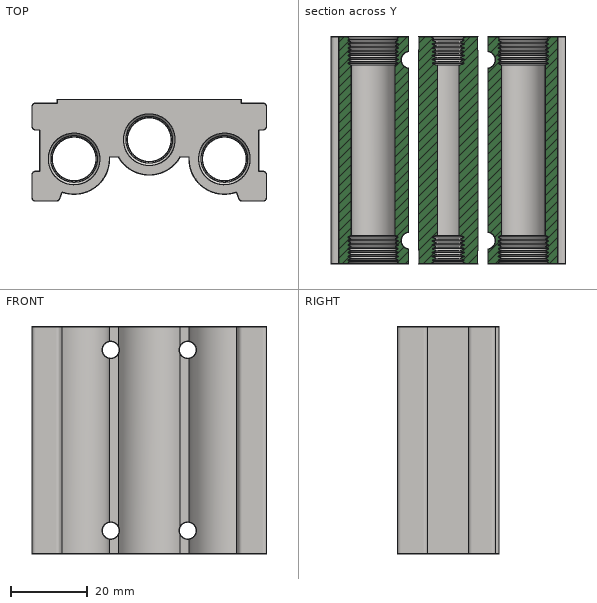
import cadquery as cq
import math

width = 61.0
depth = 26.5
length = 59.0
back = depth / 2
front = -depth / 2
half_width = width / 2

pad_width = 47.8
pad_height = 1.0

groove_depth = 2.0
groove_back = back - 8.0
groove_front = back - 18.65
corner_radius = 1.0

foot_width = 7.0
foot_slope = 20.0
foot_rise = 2.45

middle_port_y = back - 10.5
side_port_x = 19.5
side_port_y = back - 15.5
tube_radius = 9.2
web_front = back - 15.0
bore_radius = 5.7

mouth_radius = 6.7
thread_pitch = 1.0
thread_turns = 7
thread_start = 0.4
thread_groove = thread_pitch / 2 * math.tan(math.radians(60))

screw_radius = 2.2
screw_spacing_x = 20.0
screw_spacing_z = 47.0

port_centers = [
    (-side_port_x, side_port_y),
    (0, middle_port_y),
    (side_port_x, side_port_y),
]


def mirrored_outline(right_half):
    """Add the mirrored left half to points of the right half, listed from back to front."""
    left_half = [(-x, y) for x, y in reversed(right_half)]
    return right_half + left_half


def extrude_full_length(sketch):
    """Extrude a closed XY sketch over the full length, centred on Z."""
    return sketch.extrude(length).translate((0, 0, -length / 2))


def make_body():
    """Extruded block with pad, feet and tube walls, side grooves and rounded corners."""
    flange_back = back - pad_height
    foot_inner_x = half_width - foot_width
    slope_top_x = foot_inner_x - foot_rise * math.tan(math.radians(foot_slope))
    web_x = side_port_x - tube_radius

    right_half = [
        (pad_width / 2, back),
        (pad_width / 2, flange_back),
        (half_width, flange_back),
        (half_width, front),
        (foot_inner_x, front),
        (slope_top_x, front + foot_rise),
        (side_port_x, side_port_y),
        (web_x, side_port_y),
        (web_x, web_front),
    ]
    block = extrude_full_length(cq.Workplane("XY").polyline(mirrored_outline(right_half)).close())
    tubes = extrude_full_length(cq.Workplane("XY").pushPoints(port_centers).circle(tube_radius))

    groove_center_y = (groove_back + groove_front) / 2
    grooves = extrude_full_length(
        cq.Workplane("XY")
        .pushPoints([(-half_width, groove_center_y), (half_width, groove_center_y)])
        .rect(2 * groove_depth, groove_back - groove_front)
    )
    body = block.union(tubes).cut(grooves)

    rounded_corners = [
        (half_width, flange_back),
        (half_width, groove_back),
        (half_width, groove_front),
        (half_width, front),
        (foot_inner_x, front),
    ]
    corner_edges = []
    for x, y in mirrored_outline(rounded_corners):
        nearest = cq.selectors.NearestToPointSelector((x, y, 0))
        corner_edges.append(body.edges("|Z").edges(nearest).val())
    return body.newObject(corner_edges).fillet(corner_radius)


def make_passage():
    """Cutter for one passage, with a chamfered and threaded mouth at each end."""
    top = length / 2
    chamfer = mouth_radius - bore_radius
    bore = extrude_full_length(cq.Workplane("XY").circle(bore_radius))
    mouth = (
        cq.Workplane("XZ")
        .polyline([(0, top), (mouth_radius, top), (bore_radius, top - chamfer), (0, top - chamfer)])
        .close()
        .revolve(360, (0, 0), (0, 1))
    )

    thread_top = top - thread_start
    profile = cq.Workplane("XZ").moveTo(0, thread_top).lineTo(bore_radius, thread_top)
    for turn in range(thread_turns):
        crest_z = thread_top - turn * thread_pitch
        profile = profile.lineTo(bore_radius + thread_groove, crest_z - thread_pitch / 2)
        profile = profile.lineTo(bore_radius, crest_z - thread_pitch)
    thread_bottom = thread_top - thread_turns * thread_pitch
    thread = profile.lineTo(0, thread_bottom).close().revolve(360, (0, 0), (0, 1))

    threaded_mouth = mouth.union(thread)
    return bore.union(threaded_mouth).union(threaded_mouth.mirror("XY"))


def make_screw_holes():
    """Four holes running front to back."""
    return (
        cq.Workplane("XZ")
        .rarray(screw_spacing_x, screw_spacing_z, 2, 2)
        .circle(screw_radius)
        .extrude(depth, both=True)
    )


result = make_body()
passage = make_passage()
for x, y in port_centers:
    result = result.cut(passage.translate((x, y, 0)))
result = result.cut(make_screw_holes())